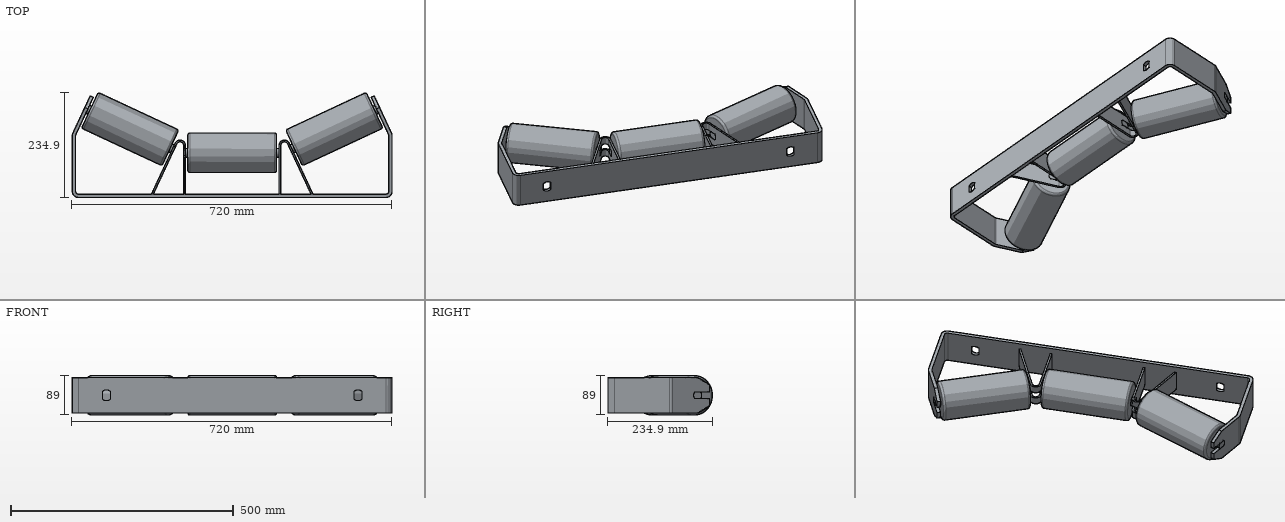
import cadquery as cq
import math


TROUGH_ANGLE = 25.0
DRUM_DIAMETER = 89.0
DRUM_LENGTH = 200.0
DRUM_EDGE_RADIUS = 5.0
SHAFT_DIAMETER = 20.0
SHAFT_FLAT_WIDTH = 15.0
END_GAP = 5.0
MIDDLE_ROLLER_Y = 101.0
SIDE_ROLLER_X = 230.0
SIDE_ROLLER_Y = 154.0

FRAME_LENGTH = 720.0
FRAME_WIDTH = 80.0
FRAME_THICKNESS = 8.0
FRAME_BEND_RADIUS = 14.5
ARM_TIP_Y = 229.0
TIP_CORNER_LENGTH = 29.0
TIP_CORNER_WIDTH = 16.0
MOUNT_HOLE_HEIGHT = 24.5
MOUNT_HOLE_WIDTH = 17.0
MOUNT_HOLE_X = 283.0

BRACKET_THICKNESS = 4.0
BRACKET_WIDTH = 50.0
BRACKET_BEND_RADIUS = 12.0

SIN = math.sin(math.radians(TROUGH_ANGLE))
COS = math.cos(math.radians(TROUGH_ANGLE))
PLATE_DISTANCE = DRUM_LENGTH / 2 + END_GAP


def bent_strip(path, start, direction, width, thickness):
    """Sweep a strip cross-section along a path in the XY plane."""
    section_plane = cq.Plane(origin=(*start, 0), xDir=(0, 0, 1), normal=(*direction, 0))
    return cq.Workplane(section_plane).rect(width, thickness).sweep(path)


def at_left_roller(body):
    """Carry a body from the origin to the tilted place of the left side roller."""
    tilted = body.rotate((0, 0, 0), (0, 0, 1), -TROUGH_ANGLE)
    return tilted.translate((-SIDE_ROLLER_X, SIDE_ROLLER_Y, 0))



def round_bar(diameter, length):
    """Round bar along X, centred on the origin."""
    return cq.Workplane("YZ", origin=(-length / 2, 0, 0)).circle(diameter / 2).extrude(length)


def flatted_bar(start_x, end_x):
    """Bar along X with the cross-section of a shaft end: round, with flats facing +Z and -Z."""
    length = end_x - start_x
    flats = cq.Workplane("XY").box(length, SHAFT_DIAMETER, SHAFT_FLAT_WIDTH)
    bar = round_bar(SHAFT_DIAMETER, length).intersect(flats)
    return bar.translate(((start_x + end_x) / 2, 0, 0))


def make_roller(left_plate, right_plate):
    """Roller along X, its shaft ends reaching through plates of the given thicknesses."""
    drum = round_bar(DRUM_DIAMETER, DRUM_LENGTH).edges("%CIRCLE").fillet(DRUM_EDGE_RADIUS)
    shaft = round_bar(SHAFT_DIAMETER, 2 * PLATE_DISTANCE)
    left_end = flatted_bar(-PLATE_DISTANCE - left_plate, -PLATE_DISTANCE)
    right_end = flatted_bar(PLATE_DISTANCE, PLATE_DISTANCE + right_plate)
    return drum.union(shaft).union(left_end).union(right_end)


def shaft_slot(start_x, end_x, length):
    """Cutter for a slot that seats a shaft end on the X axis and runs open along +Y."""
    opening = cq.Workplane("XY").box(end_x - start_x, length, SHAFT_FLAT_WIDTH)
    opening = opening.translate(((start_x + end_x) / 2, length / 2, 0))
    return opening.union(flatted_bar(start_x, end_x))


middle_roller = make_roller(BRACKET_THICKNESS, BRACKET_THICKNESS)
middle_roller = middle_roller.translate((0, MIDDLE_ROLLER_Y, 0))
left_roller = at_left_roller(make_roller(FRAME_THICKNESS, BRACKET_THICKNESS))
right_roller = left_roller.mirror("YZ")



def frame_half_strip():
    """Left half of the frame: base, upright and an arm tilted square to the side roller."""
    mid_radius = FRAME_BEND_RADIUS - FRAME_THICKNESS / 2
    mid_base_y = FRAME_THICKNESS / 2
    bend_center_x = -FRAME_LENGTH / 2 + FRAME_BEND_RADIUS
    inner_radius = FRAME_BEND_RADIUS - FRAME_THICKNESS
    roller_to_bend = PLATE_DISTANCE - inner_radius
    upper_bend_y = SIDE_ROLLER_Y + (roller_to_bend + COS * (SIDE_ROLLER_X + bend_center_x)) / SIN
    arm_start = (bend_center_x - mid_radius * COS, upper_bend_y + mid_radius * SIN)
    arm_length = (ARM_TIP_Y - upper_bend_y - FRAME_BEND_RADIUS * SIN) / COS
    arm_tip = (arm_start[0] + arm_length * SIN, arm_start[1] + arm_length * COS)

    path = (
        cq.Workplane("XY")
        .moveTo(0, mid_base_y)
        .lineTo(bend_center_x, mid_base_y)
        .tangentArcPoint((bend_center_x - mid_radius, FRAME_BEND_RADIUS), relative=False)
        .lineTo(bend_center_x - mid_radius, upper_bend_y)
        .tangentArcPoint(arm_start, relative=False)
        .lineTo(*arm_tip)
    )
    return bent_strip(path, (0, mid_base_y), (-1, 0), FRAME_WIDTH, FRAME_THICKNESS)


def arm_cutouts():
    """Open shaft slot and the two corner cuts at the tip of the left arm."""
    outer_face_x = -PLATE_DISTANCE - FRAME_THICKNESS
    tip = (ARM_TIP_Y - SIDE_ROLLER_Y + outer_face_x * SIN) / COS
    half_width = FRAME_WIDTH / 2

    cutouts = shaft_slot(outer_face_x, -PLATE_DISTANCE, tip)
    for side in (-1, 1):
        corner = (
            cq.Workplane("YZ", origin=(outer_face_x, 0, 0))
            .moveTo(tip, side * half_width)
            .lineTo(tip - TIP_CORNER_LENGTH, side * half_width)
            .lineTo(tip, side * (half_width - TIP_CORNER_WIDTH))
            .close()
            .extrude(FRAME_THICKNESS)
        )
        cutouts = cutouts.union(corner)
    return at_left_roller(cutouts)


def mounting_hole():
    """Hole through the left end of the base: round, with flats facing +X and -X."""
    hole = cq.Workplane("XZ").circle(MOUNT_HOLE_HEIGHT / 2).extrude(-FRAME_THICKNESS)
    flats = cq.Workplane("XZ").rect(MOUNT_HOLE_WIDTH, MOUNT_HOLE_HEIGHT).extrude(-FRAME_THICKNESS)
    return hole.intersect(flats).translate((-MOUNT_HOLE_X, 0, 0))


def make_frame():
    left_half = frame_half_strip().cut(arm_cutouts()).cut(mounting_hole())
    return left_half.union(left_half.mirror("YZ"), clean=True)



def make_left_bracket():
    """Bent strip standing on the base: upright beside the middle roller, leg beside the left one."""
    mid_radius = BRACKET_BEND_RADIUS - BRACKET_THICKNESS / 2
    upright_x = -PLATE_DISTANCE - BRACKET_THICKNESS / 2
    bend_center_x = -PLATE_DISTANCE - BRACKET_BEND_RADIUS
    roller_to_bend = PLATE_DISTANCE + BRACKET_BEND_RADIUS
    bend_y = SIDE_ROLLER_Y - (roller_to_bend - COS * (SIDE_ROLLER_X + bend_center_x)) / SIN
    leg_start = (bend_center_x - mid_radius * COS, bend_y + mid_radius * SIN)
    leg_length = leg_start[1] / COS

    path = (
        cq.Workplane("XY")
        .moveTo(upright_x, 0)
        .lineTo(upright_x, bend_y)
        .tangentArcPoint(leg_start, relative=False)
        .lineTo(leg_start[0] - leg_length * SIN, 0)
    )
    strip = bent_strip(path, (upright_x, 0), (0, 1), BRACKET_WIDTH, BRACKET_THICKNESS)
    below_base_top = cq.Workplane("XY").box(FRAME_LENGTH, 2 * FRAME_THICKNESS, FRAME_WIDTH)
    strip = strip.cut(below_base_top)

    slot_depth = PLATE_DISTANCE + BRACKET_BEND_RADIUS
    slot_length = bend_y + BRACKET_BEND_RADIUS - MIDDLE_ROLLER_Y
    upright_slot = shaft_slot(-slot_depth, -PLATE_DISTANCE, slot_length)
    leg_slot = at_left_roller(shaft_slot(PLATE_DISTANCE, slot_depth, slot_length))
    return strip.cut(upright_slot.translate((0, MIDDLE_ROLLER_Y, 0))).cut(leg_slot)


frame = make_frame()
left_bracket = make_left_bracket()
right_bracket = left_bracket.mirror("YZ")

bodies = [frame, left_bracket, right_bracket, left_roller, middle_roller, right_roller]
result = cq.Compound.makeCompound([body.val() for body in bodies])